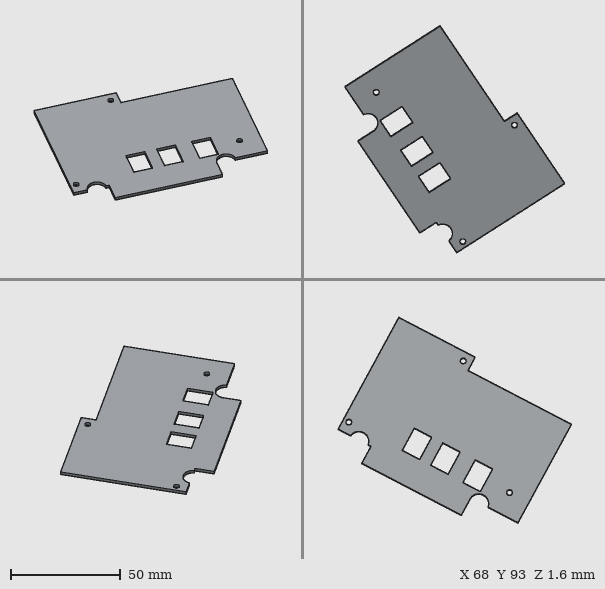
import cadquery as cq

length_x = 68.0
length_y = 93.0
thickness = 1.6

left_step_x = 7.0
left_step_y = 39.5
right_edge_x = 59.0
tab_bottom_y = 17.0
tab_top_y = 68.5

notch_radius = 4.5
notch_center_offset = 0.5
notch_center_x = right_edge_x + notch_center_offset
upper_notch_y = tab_top_y + notch_radius
lower_notch_y = 11.0

window_left_x = 42.25
window_height = 9.0
window_width = 11.75
top_window_width = 12.0
top_window_bottom_y = 62.0
middle_window_bottom_y = 45.2
bottom_window_bottom_y = 30.5
windows = [
    (top_window_bottom_y, top_window_width),
    (middle_window_bottom_y, window_width),
    (bottom_window_bottom_y, window_width),
]

hole_diameter = 2.6
hole_centers = [(48.4, 83.0), (4.1, 35.5), (53.8, 2.8)]


def plate():
    """Flat plate with a stepped left edge and a tab on the right."""
    return (
        cq.Workplane("XY")
        .moveTo(0, 0)
        .lineTo(right_edge_x, 0)
        .lineTo(right_edge_x, tab_bottom_y)
        .lineTo(length_x, tab_bottom_y)
        .lineTo(length_x, tab_top_y)
        .lineTo(right_edge_x, tab_top_y)
        .lineTo(right_edge_x, length_y)
        .lineTo(left_step_x, length_y)
        .lineTo(left_step_x, left_step_y)
        .lineTo(0, left_step_y)
        .close()
        .extrude(thickness)
    )


def round_cutters(centers, diameter):
    """Cylinders through the plate thickness at the given centers."""
    return cq.Workplane("XY").pushPoints(centers).circle(diameter / 2).extrude(thickness)


def window_cutter(bottom_y, width):
    """Block through the plate thickness for one window."""
    block = cq.Workplane("XY").box(width, window_height, thickness, centered=False)
    return block.translate((window_left_x, bottom_y, 0))


notch_centers = [(notch_center_x, upper_notch_y), (notch_center_x, lower_notch_y)]

result = plate()
result = result.cut(round_cutters(notch_centers, 2 * notch_radius))
result = result.cut(round_cutters(hole_centers, hole_diameter))
for bottom_y, width in windows:
    result = result.cut(window_cutter(bottom_y, width))